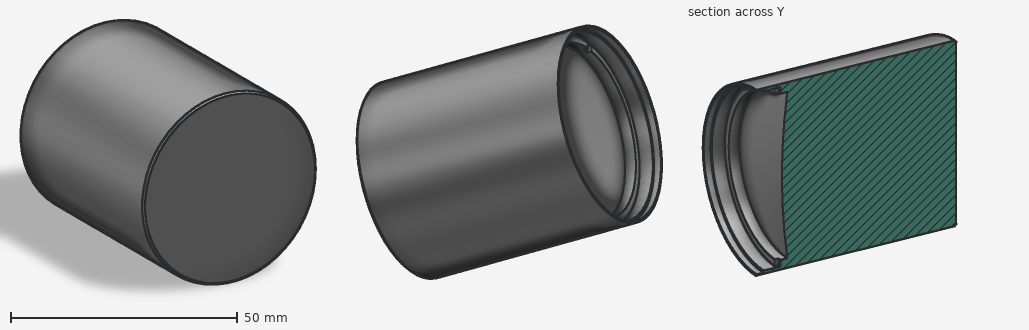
import cadquery as cq

length = 52.0
outer_radius = 22.5
end_chamfer = 0.5

mouth_radius = 22.1
mouth_depth = 1.8
bore_radius = 21.6
ring_face_depth = 5.2
ring_inner_radius = 20.0
dome_edge_depth = 8.0

slot_width = 1.5
slot_depth = 1.0

dome_height = 1.4


def make_housing():
    """Solid cylinder with a chamfer around its closed end."""
    cylinder = cq.Workplane("YZ").circle(outer_radius).extrude(length)
    return cylinder.faces(">X").chamfer(end_chamfer)


def make_cavity():
    """Stepped bore whose bottom is a spherical dome, turned about the X axis."""
    dome_radius = (ring_inner_radius**2 + dome_height**2) / (2 * dome_height)
    dome_top = dome_edge_depth - dome_height
    half_radius = ring_inner_radius / 2
    half_drop = dome_radius - (dome_radius**2 - half_radius**2) ** 0.5
    profile = (
        cq.Workplane("XY")
        .moveTo(0, 0)
        .lineTo(0, mouth_radius)
        .lineTo(mouth_depth, mouth_radius)
        .lineTo(mouth_depth, bore_radius)
        .lineTo(ring_face_depth, bore_radius)
        .lineTo(ring_face_depth, ring_inner_radius)
        .lineTo(dome_edge_depth, ring_inner_radius)
        .threePointArc((dome_top + half_drop, half_radius), (dome_top, 0))
        .close()
    )
    return profile.revolve(360, (0, 0, 0), (1, 0, 0))


def make_slots():
    """Two opposite slots through the ring, limited to the ring's own width."""
    ring = (
        cq.Workplane("YZ", origin=(ring_face_depth, 0, 0))
        .circle(bore_radius)
        .circle(ring_inner_radius)
        .extrude(slot_depth)
    )
    bar = (
        cq.Workplane("YZ", origin=(ring_face_depth, 0, 0))
        .rect(slot_width, 2 * outer_radius)
        .extrude(slot_depth)
    )
    return ring.intersect(bar)


result = make_housing().cut(make_cavity()).cut(make_slots())